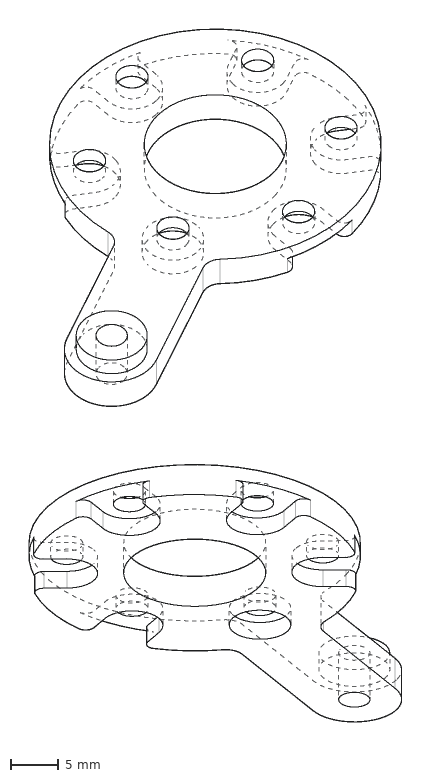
import cadquery as cq
import math

DISC_RADIUS = 17.5
BORE_DIAMETER = 15.0
PLATE_THICKNESS = 3.6

BOLT_COUNT = 6
BOLT_CIRCLE_RADIUS = 13.5
BOLT_HOLE_DIAMETER = 3.4
HEAD_RECESS_RADIUS = 3.25
HEAD_RECESS_DEPTH = 2.0
MOUTH_LIP_RADIUS = 1.0

ARM_WIDTH = 10.0
ARM_PIVOT_Y = -33.0
ARM_FILLET_RADIUS = 2.0

BOSS_DIAMETER = 7.5
BOSS_HEIGHT = 2.0
PIVOT_HOLE_DIAMETER = 3.3

CUT_OVERRUN = 1.0
FIRST_BOLT_ANGLE = -90.0
BOLT_PITCH_ANGLE = 360.0 / BOLT_COUNT


def make_plate():
    """Disc and round-ended arm, blended by fillets at the arm root."""
    arm_half = ARM_WIDTH / 2
    disc = cq.Workplane("XY").circle(DISC_RADIUS).extrude(PLATE_THICKNESS)
    arm = (
        cq.Workplane("XY")
        .moveTo(-arm_half, 0)
        .lineTo(-arm_half, ARM_PIVOT_Y)
        .threePointArc((0, ARM_PIVOT_Y - arm_half), (arm_half, ARM_PIVOT_Y))
        .lineTo(arm_half, 0)
        .close()
        .extrude(PLATE_THICKNESS)
    )
    root_y = -math.sqrt(DISC_RADIUS**2 - arm_half**2)
    root_edges = cq.selectors.BoxSelector(
        (-ARM_WIDTH, root_y - CUT_OVERRUN, -CUT_OVERRUN),
        (ARM_WIDTH, root_y + CUT_OVERRUN, PLATE_THICKNESS + CUT_OVERRUN),
    )
    return disc.union(arm).edges("|Z").edges(root_edges).fillet(ARM_FILLET_RADIUS)


def make_boss():
    """Round pivot boss standing on the end of the arm."""
    return (
        cq.Workplane("XY", origin=(0, ARM_PIVOT_Y, 0))
        .circle(BOSS_DIAMETER / 2)
        .extrude(PLATE_THICKNESS + BOSS_HEIGHT)
    )


def make_closed_recess():
    """Round screw head recess on the +X axis."""
    return (
        cq.Workplane("XY")
        .center(BOLT_CIRCLE_RADIUS, 0)
        .circle(HEAD_RECESS_RADIUS)
        .extrude(HEAD_RECESS_DEPTH)
    )


def make_open_recess():
    """Screw head recess on the +X axis, open through the rim between two rounded lips."""
    half_width = HEAD_RECESS_RADIUS
    lip_y = half_width + MOUTH_LIP_RADIUS
    lip_center_radius = DISC_RADIUS - MOUTH_LIP_RADIUS
    lip_x = math.sqrt(lip_center_radius**2 - lip_y**2)
    rim_angle = math.atan2(lip_y, lip_x)
    rim_x = DISC_RADIUS * math.cos(rim_angle)
    rim_y = DISC_RADIUS * math.sin(rim_angle)
    middle_angle = (rim_angle - math.pi / 2) / 2
    middle_x = lip_x + MOUTH_LIP_RADIUS * math.cos(middle_angle)
    middle_y = lip_y + MOUTH_LIP_RADIUS * math.sin(middle_angle)
    outer_x = DISC_RADIUS + CUT_OVERRUN
    return (
        cq.Workplane("XY")
        .moveTo(outer_x, -rim_y)
        .lineTo(rim_x, -rim_y)
        .threePointArc((middle_x, -middle_y), (lip_x, -half_width))
        .lineTo(BOLT_CIRCLE_RADIUS, -half_width)
        .threePointArc((BOLT_CIRCLE_RADIUS - half_width, 0), (BOLT_CIRCLE_RADIUS, half_width))
        .lineTo(lip_x, half_width)
        .threePointArc((middle_x, middle_y), (rim_x, rim_y))
        .lineTo(outer_x, rim_y)
        .close()
        .extrude(HEAD_RECESS_DEPTH)
    )


def cut_bolt_positions(body):
    """Bolt holes with screw head recesses in the underside; the arm root recess stays closed."""
    hole = (
        cq.Workplane("XY")
        .center(BOLT_CIRCLE_RADIUS, 0)
        .circle(BOLT_HOLE_DIAMETER / 2)
        .extrude(PLATE_THICKNESS)
    )
    closed_cutter = hole.union(make_closed_recess())
    open_cutter = hole.union(make_open_recess())
    for index in range(BOLT_COUNT):
        angle = FIRST_BOLT_ANGLE + index * BOLT_PITCH_ANGLE
        cutter = closed_cutter if index == 0 else open_cutter
        body = body.cut(cutter.rotate((0, 0, 0), (0, 0, 1), angle))
    return body


def cut_through_hole(body, diameter, center_y):
    """Round vertical hole through the full height, on the part's centre line."""
    cutter = (
        cq.Workplane("XY", origin=(0, center_y, 0))
        .circle(diameter / 2)
        .extrude(PLATE_THICKNESS + BOSS_HEIGHT)
    )
    return body.cut(cutter)


part = make_plate().union(make_boss())
part = cut_bolt_positions(part)
part = cut_through_hole(part, BORE_DIAMETER, 0)
part = cut_through_hole(part, PIVOT_HOLE_DIAMETER, ARM_PIVOT_Y)

result = part